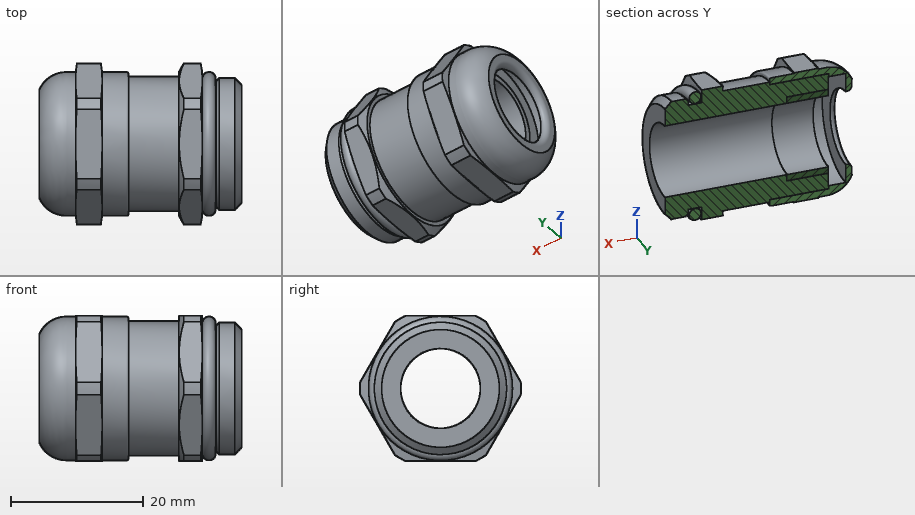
import cadquery as cq
import math


ACROSS_FLATS = 22.0
CORNER_DIA = 24.4
RIM_DIA = 21.8

BORE_DIA = 12.0

DOME_END_X = 4.15
DOME_FACE_DIA = 16.3
MOUTH_DIA = 14.1
THROAT_DIA = 12.3
LIP_END_X = 1.07
CAVITY_DIA = 18.4
NUT_HEX_START_X = 5.52
NUT_HEX_END_X = 9.53
NUT_HEX_CHAMFER = 0.18
NUT_END_X = 13.52
NUT_RIM_FILLET = 0.3

SPIGOT_START_X = 3.9
SPIGOT_DIA = 19.4
NECK_DIA = 20.4
BODY_HEX_START_X = 21.12
BODY_HEX_END_X = 24.67
BODY_HEX_FRONT_CHAMFER = 0.77
BODY_HEX_BACK_CHAMFER = 0.25
THREAD_START_X = 26.75
THREAD_DIA = 20.0
THREAD_START_DIA = 19.05
THREAD_END_DIA = 17.8
THREAD_END_CHAMFER = 1.07
TOTAL_LENGTH = 30.65

SEAL_DIA = 14.1
SEAL_LENGTH = 6.75

ORING_SECTION_DIA = 2.02

GROOVE_DIA = RIM_DIA - 2 * ORING_SECTION_DIA
SEAL_END_X = SPIGOT_START_X + SEAL_LENGTH
THREAD_LEAD = (THREAD_DIA - THREAD_START_DIA) / 2
HALF_QUARTER = math.sqrt(0.5)


def revolve_about_x(profile):
    """Turn a closed (x, radius) profile about the X axis."""
    return profile.close().revolve(360, (0, 0, 0), (1, 0, 0))


def cylinder(dia, start_x, end_x):
    return cq.Workplane("YZ", origin=(start_x, 0, 0)).circle(dia / 2).extrude(end_x - start_x)


def turned_hexagon(start_x, end_x, front_chamfer, back_chamfer):
    """Hexagonal prism with corners on +Y and -Y, turned to shape and chamfered at both ends."""
    hexagon = (
        cq.Workplane("YZ", origin=(start_x, 0, 0))
        .polygon(6, ACROSS_FLATS / math.cos(math.radians(30)))
        .extrude(end_x - start_x)
    )
    turning = revolve_about_x(
        cq.Workplane("XY")
        .moveTo(start_x, 0)
        .lineTo(start_x, RIM_DIA / 2)
        .lineTo(start_x + front_chamfer, CORNER_DIA / 2)
        .lineTo(end_x - back_chamfer, CORNER_DIA / 2)
        .lineTo(end_x, RIM_DIA / 2)
        .lineTo(end_x, 0)
    )
    return hexagon.intersect(turning)


def make_cap_nut():
    rim_r = RIM_DIA / 2
    face_r = DOME_FACE_DIA / 2

    dome_drop = rim_r - face_r
    dome_r = (DOME_END_X**2 + dome_drop**2) / (2 * dome_drop)
    dome_half_angle = math.asin(DOME_END_X / dome_r) / 2
    dome_mid = (
        DOME_END_X - dome_r * math.sin(dome_half_angle),
        rim_r - dome_r + dome_r * math.cos(dome_half_angle),
    )

    mouth_r = (MOUTH_DIA - THROAT_DIA) / 2
    mouth_mid = (
        mouth_r * (1 - HALF_QUARTER),
        MOUTH_DIA / 2 - mouth_r * HALF_QUARTER,
    )

    rim_mid = (
        NUT_END_X - NUT_RIM_FILLET * (1 - HALF_QUARTER),
        rim_r - NUT_RIM_FILLET * (1 - HALF_QUARTER),
    )

    turned = revolve_about_x(
        cq.Workplane("XY")
        .moveTo(0, face_r)
        .threePointArc(dome_mid, (DOME_END_X, rim_r))
        .lineTo(NUT_END_X - NUT_RIM_FILLET, rim_r)
        .threePointArc(rim_mid, (NUT_END_X, rim_r - NUT_RIM_FILLET))
        .lineTo(NUT_END_X, SPIGOT_DIA / 2)
        .lineTo(SPIGOT_START_X, SPIGOT_DIA / 2)
        .lineTo(SPIGOT_START_X, CAVITY_DIA / 2)
        .lineTo(LIP_END_X, CAVITY_DIA / 2)
        .lineTo(LIP_END_X, THROAT_DIA / 2)
        .lineTo(mouth_r, THROAT_DIA / 2)
        .threePointArc(mouth_mid, (0, MOUTH_DIA / 2))
    )
    hexagon = turned_hexagon(NUT_HEX_START_X, NUT_HEX_END_X, NUT_HEX_CHAMFER, NUT_HEX_CHAMFER)
    hex_ring = hexagon.cut(cylinder(SPIGOT_DIA, NUT_HEX_START_X, NUT_HEX_END_X))
    return turned.union(hex_ring)


def make_body():
    turned = revolve_about_x(
        cq.Workplane("XY")
        .moveTo(SPIGOT_START_X, 0)
        .lineTo(SPIGOT_START_X, SPIGOT_DIA / 2)
        .lineTo(NUT_END_X, SPIGOT_DIA / 2)
        .lineTo(NUT_END_X, NECK_DIA / 2)
        .lineTo(BODY_HEX_END_X, NECK_DIA / 2)
        .lineTo(BODY_HEX_END_X, GROOVE_DIA / 2)
        .lineTo(THREAD_START_X, GROOVE_DIA / 2)
        .lineTo(THREAD_START_X, THREAD_START_DIA / 2)
        .lineTo(THREAD_START_X + THREAD_LEAD, THREAD_DIA / 2)
        .lineTo(TOTAL_LENGTH - THREAD_END_CHAMFER, THREAD_DIA / 2)
        .lineTo(TOTAL_LENGTH, THREAD_END_DIA / 2)
        .lineTo(TOTAL_LENGTH, 0)
    )
    hexagon = turned_hexagon(
        BODY_HEX_START_X, BODY_HEX_END_X, BODY_HEX_FRONT_CHAMFER, BODY_HEX_BACK_CHAMFER
    )
    solid_body = turned.union(hexagon)
    bore = cylinder(BORE_DIA, SPIGOT_START_X, TOTAL_LENGTH)
    seal_seat = cylinder(SEAL_DIA, SPIGOT_START_X, SEAL_END_X)
    return solid_body.cut(bore).cut(seal_seat)


def make_seal():
    sleeve = cylinder(SEAL_DIA, SPIGOT_START_X, SEAL_END_X)
    return sleeve.cut(cylinder(BORE_DIA, SPIGOT_START_X, SEAL_END_X))


def make_oring():
    section_r = ORING_SECTION_DIA / 2
    center_x = BODY_HEX_END_X + section_r
    center_r = RIM_DIA / 2 - section_r
    section = cq.Workplane("XY").center(center_x, center_r).circle(section_r)
    return section.revolve(360, (-center_x, -center_r, 0), (0.3 - center_x, -center_r, 0))


cap_nut = make_cap_nut()
body = make_body()
seal = make_seal()
oring = make_oring()

result = cq.Compound.makeCompound([cap_nut.val(), body.val(), seal.val(), oring.val()])